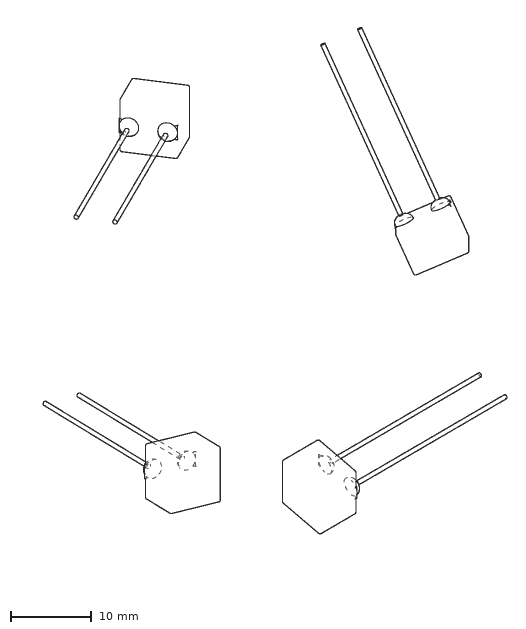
import cadquery as cq

width = 7.5
height = 7.5
total_length = 31.0
body_depth = 6.0
edge_radius = 0.3

lead_pitch = 5.0
lead_diameter = 0.6
bead_radius = (width - lead_pitch) / 2
bead_projection = 1.02

corner_height = 1.95

lead_face_y = total_length / 2 - body_depth
lead_tip_y = -total_length / 2


def make_body():
    return (
        cq.Workplane("XY")
        .box(width, body_depth, height)
        .edges()
        .fillet(edge_radius)
        .translate((0, lead_face_y + body_depth / 2, 0))
    )


def make_corner(side):
    """Fill the rounded edge beside a bead back to a square corner."""
    return cq.Workplane("XY").box(edge_radius, edge_radius, corner_height).translate(
        (side * (width - edge_radius) / 2, lead_face_y + edge_radius / 2, 0)
    )


def make_bead(x):
    """Flattened dome, half an ellipse revolved about the lead."""
    return (
        cq.Workplane("XY")
        .moveTo(0, -bead_projection)
        .ellipseArc(bead_radius, bead_projection, 270, 360, startAtCurrent=True)
        .lineTo(0, 0)
        .close()
        .revolve(360, (0, 0, 0), (0, 1, 0))
        .translate((x, lead_face_y, 0))
    )


def make_lead(x):
    return (
        cq.Workplane("XZ", origin=(x, lead_face_y, 0))
        .circle(lead_diameter / 2)
        .extrude(lead_face_y - lead_tip_y)
    )


result = make_body()
for side in (-1, 1):
    lead_x = side * lead_pitch / 2
    result = result.union(make_corner(side)).union(make_bead(lead_x)).union(make_lead(lead_x))